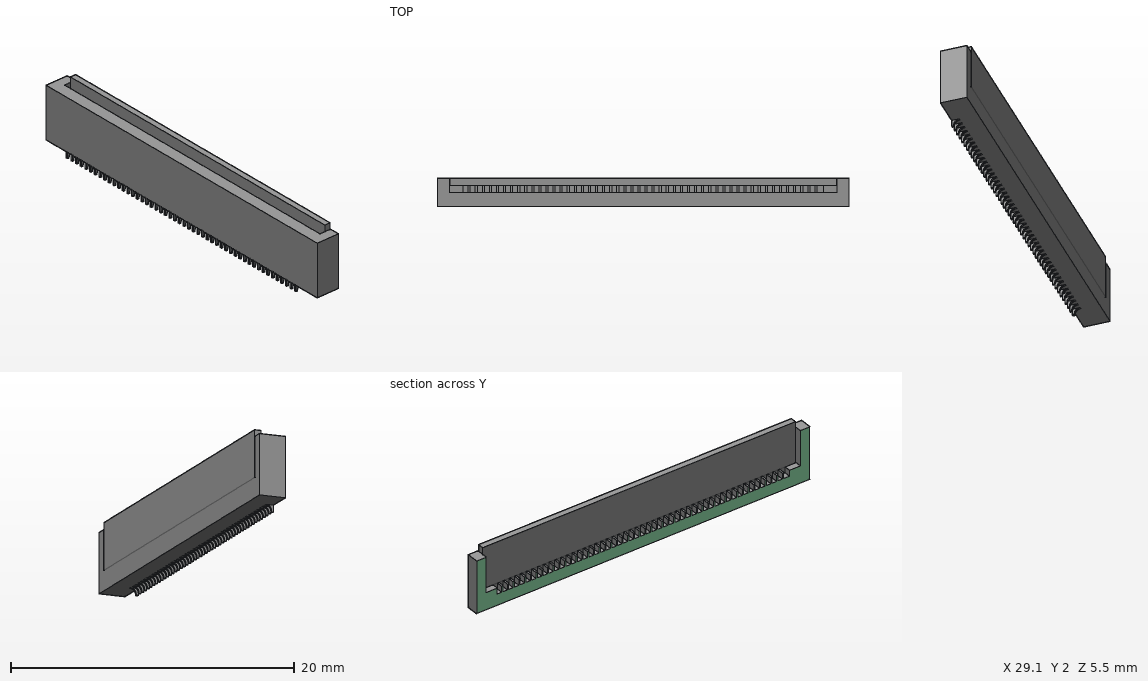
import cadquery as cq
import math

housing_length = 29.1
housing_thickness = 2.0
housing_height = 4.5
front_y = -housing_thickness / 2
back_y = housing_thickness / 2

cavity_length = 27.4
cavity_thickness = 1.0
cavity_depth = 3.0
cavity_floor_z = housing_height - cavity_depth

tongue_length = 27.3
tongue_thickness = 0.5
tongue_rise = 0.5

trench_length = 25.5
trench_depth = 0.5

contact_count = 50
contact_pitch = 0.5
contact_width = 0.15
contact_row_offset = -0.05
tail_thickness = 0.15
tail_drop = 0.5
tail_bend_radius = 0.45

cable_gap_thickness = cavity_thickness - tongue_thickness
tongue_front_y = back_y - tongue_thickness
cavity_front_y = back_y - cavity_thickness
trench_floor_z = cavity_floor_z - trench_depth
first_contact_x = contact_row_offset - contact_pitch * (contact_count - 1) / 2


def block(length, y_min, thickness, z_min, height, x_center=0.0):
    """Box centred on x_center that starts at y_min and z_min."""
    box = cq.Workplane("XY").box(length, thickness, height, centered=(True, False, False))
    return box.translate((x_center, y_min, z_min))


def make_housing():
    """Plain housing with the cavity and the trench in the cavity floor."""
    body = block(housing_length, front_y, housing_thickness, 0, housing_height)
    cavity = block(cavity_length, cavity_front_y, cavity_thickness, cavity_floor_z, cavity_depth)
    trench = block(trench_length, cavity_front_y, cable_gap_thickness, trench_floor_z, trench_depth)
    return body.cut(cavity).cut(trench)


def make_tongue():
    """Bar that stands on the cavity floor, flush with the back of the housing."""
    tongue_height = cavity_depth + tongue_rise
    return block(tongue_length, tongue_front_y, tongue_thickness, cavity_floor_z, tongue_height)


def make_contact(x_center):
    """Contact that fills the trench at x_center, level with the cavity floor."""
    return block(contact_width, cavity_front_y, cable_gap_thickness, trench_floor_z, trench_depth, x_center)


def make_tail(x_center):
    """Straight solder tail, flush with the housing front and flared by an arc at its root."""
    leg_back_y = front_y + tail_thickness
    bend_y = leg_back_y + tail_bend_radius
    bend_offset = tail_bend_radius * math.sin(math.radians(45))
    profile = (
        cq.Workplane("YZ")
        .moveTo(front_y, 0)
        .lineTo(front_y, -tail_drop)
        .lineTo(leg_back_y, -tail_drop)
        .lineTo(leg_back_y, -tail_bend_radius)
        .threePointArc((bend_y - bend_offset, bend_offset - tail_bend_radius), (bend_y, 0))
        .close()
    )
    return profile.extrude(contact_width / 2, both=True).translate((x_center, 0, 0))


contact_positions = [first_contact_x + i * contact_pitch for i in range(contact_count)]
pieces = [make_tongue().val()]
for x in contact_positions:
    pieces.append(make_contact(x).val())
    pieces.append(make_tail(x).val())

result = cq.Workplane(make_housing().val().fuse(*pieces).Solids()[0])